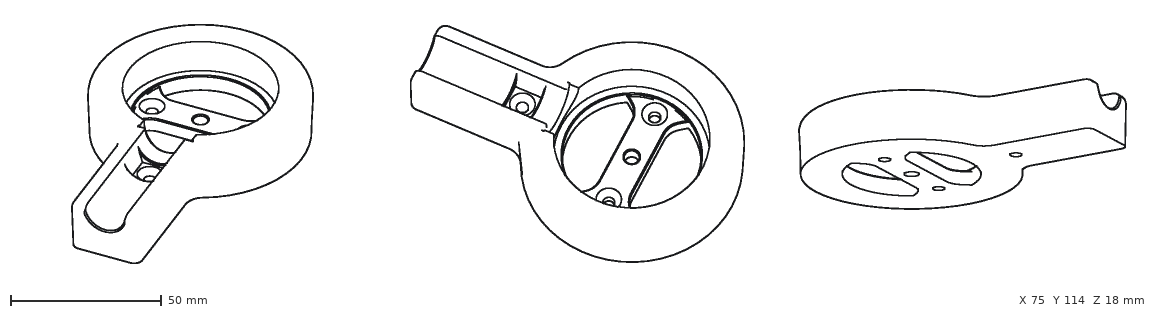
import cadquery as cq
import math

BODY_HEIGHT = 18.0
TOTAL_LENGTH = 113.98
HEAD_BOTTOM_RADIUS = 37.0
DRAFT_ANGLE = 2.0
HANDLE_BOTTOM_WIDTH = 25.0
HANDLE_CORNER_RADIUS = 3.0
NECK_RADIUS = 6.5
TOP_ROUND_RADIUS = 3.0

DRAFT_SLOPE = math.tan(math.radians(DRAFT_ANGLE))
HEAD_TOP_RADIUS = HEAD_BOTTOM_RADIUS + BODY_HEIGHT * DRAFT_SLOPE
HANDLE_TOP_WIDTH = HANDLE_BOTTOM_WIDTH + 2 * BODY_HEIGHT * DRAFT_SLOPE
HEAD_WIDEST_RADIUS = HEAD_BOTTOM_RADIUS + (BODY_HEIGHT - TOP_ROUND_RADIUS) * DRAFT_SLOPE
HANDLE_END_Y = HEAD_WIDEST_RADIUS - TOTAL_LENGTH

RECESS_RADIUS = 26.0
LEDGE_Z = 6.0
OPENING_RADIUS = 46.2 / 2
EDGE_CHAMFER = 0.4

BAR_TOP_Z = 5.0
BAR_WIDTH = 12.0
BAR_FLARE_X = 16.0
BAR_FLARE_ANGLE = 52.0
BAR_FLARE_BLEND_RADIUS = 7.0
BAR_ROOT_RADIUS = 0.4
BAR_SCREW_X = 17.75
CENTER_HOLE_DIAMETER = 5.0

SCREW_HOLE_DIAMETER = 4.0
COUNTERSINK_DIAMETER = 8.5
COUNTERSINK_ANGLE = 90.0

GROOVE_RADIUS = 7.25
GROOVE_DEPTH = 7.5
GROOVE_AXIS_Z = BODY_HEIGHT - (GROOVE_DEPTH - GROOVE_RADIUS)
MOUTH_CHAMFER = 0.5

COLLAR_RADIUS = 9.6
COLLAR_END_Y = -27.6
COLLAR_LIP_RADIUS = 0.8
COLLAR_SHOULDER_WIDTH = 20.0

HANDLE_SCREW_Y = -40.3
POCKET_LENGTH = 10.0
POCKET_FLOOR_WIDTH = 10.0
POCKET_FLOOR_Z = 9.5
POCKET_TOP_Z = 15.5
POCKET_WALL_ANGLE = 17.4

TOLERANCE = 0.1


def make_body():
    head = cq.Workplane("XY").add(
        cq.Solid.makeCone(HEAD_BOTTOM_RADIUS, HEAD_TOP_RADIUS, BODY_HEIGHT)
    )
    handle = (
        cq.Workplane("XZ")
        .polyline([
            (-HANDLE_BOTTOM_WIDTH / 2, 0),
            (HANDLE_BOTTOM_WIDTH / 2, 0),
            (HANDLE_TOP_WIDTH / 2, BODY_HEIGHT),
            (-HANDLE_TOP_WIDTH / 2, BODY_HEIGHT),
        ])
        .close()
        .extrude(-HANDLE_END_Y)
    )
    handle = handle.faces("<Y").edges("<X or >X").fillet(HANDLE_CORNER_RADIUS)
    neck_edges = cq.selectors.BoxSelector(
        (-HANDLE_TOP_WIDTH, -HEAD_TOP_RADIUS, TOLERANCE),
        (HANDLE_TOP_WIDTH, -OPENING_RADIUS, BODY_HEIGHT - TOLERANCE),
    )
    body = head.union(handle).edges(neck_edges).fillet(NECK_RADIUS)
    return body.faces(">Z").edges().fillet(TOP_ROUND_RADIUS)


def make_recess():
    """Cutter for the stepped round hole, with the ledge's inner edge chamfered."""
    return (
        cq.Workplane("XZ")
        .polyline([
            (0, 0),
            (OPENING_RADIUS, 0),
            (OPENING_RADIUS, LEDGE_Z - EDGE_CHAMFER),
            (OPENING_RADIUS + EDGE_CHAMFER, LEDGE_Z),
            (RECESS_RADIUS, LEDGE_Z),
            (RECESS_RADIUS, BODY_HEIGHT),
            (0, BODY_HEIGHT),
        ])
        .close()
        .revolve(360, (0, 0, 0), (0, 1, 0))
    )


def trace_half_round(plane, radius):
    """Groove section on an XZ plane centred on the groove axis, open past the top face."""
    return (
        plane.moveTo(-radius, BODY_HEIGHT)
        .lineTo(-radius, 0)
        .threePointArc((0, -radius), (radius, 0))
        .lineTo(radius, BODY_HEIGHT)
        .close()
    )


def groove_plane(y):
    return cq.Workplane("XZ", origin=(0, y, GROOVE_AXIS_Z))


def make_groove():
    """Cutter for the groove, its chamfered mouth and the collar with rounded lips."""
    groove = trace_half_round(groove_plane(0), GROOVE_RADIUS).extrude(-HANDLE_END_Y)
    collar = trace_half_round(groove_plane(0), COLLAR_RADIUS).extrude(-COLLAR_END_Y)
    groove_arc_center_z = GROOVE_AXIS_Z - 2 * GROOVE_RADIUS / math.pi
    lip_edges = cq.selectors.BoxSelector(
        (-GROOVE_RADIUS - TOLERANCE, COLLAR_END_Y - TOLERANCE, groove_arc_center_z - TOLERANCE),
        (GROOVE_RADIUS + TOLERANCE, COLLAR_END_Y + TOLERANCE, GROOVE_AXIS_Z + BODY_HEIGHT - TOLERANCE),
    )
    cutter = groove.union(collar).edges(lip_edges).fillet(COLLAR_LIP_RADIUS)
    mouth = trace_half_round(groove_plane(HANDLE_END_Y + MOUTH_CHAMFER), GROOVE_RADIUS)
    mouth = trace_half_round(mouth.workplane(offset=MOUTH_CHAMFER), GROOVE_RADIUS + MOUTH_CHAMFER)
    return cutter.union(make_shoulder()).union(mouth.loft(ruled=True))


def make_shoulder():
    """Cutter that rounds the top edge of the collar's end wall."""
    lip_y = COLLAR_END_Y - COLLAR_LIP_RADIUS
    lip_z = BODY_HEIGHT - COLLAR_LIP_RADIUS
    diagonal = COLLAR_LIP_RADIUS * math.sqrt(0.5)
    return (
        cq.Workplane("YZ", origin=(-COLLAR_SHOULDER_WIDTH / 2, 0, 0))
        .moveTo(COLLAR_END_Y, BODY_HEIGHT)
        .lineTo(lip_y, BODY_HEIGHT)
        .threePointArc((lip_y + diagonal, lip_z + diagonal), (COLLAR_END_Y, lip_z))
        .close()
        .extrude(COLLAR_SHOULDER_WIDTH)
    )


def cut_pocket(body):
    wall_run = (POCKET_TOP_Z - POCKET_FLOOR_Z) * math.tan(math.radians(POCKET_WALL_ANGLE))
    top_half_width = POCKET_FLOOR_WIDTH / 2 + wall_run
    start_y = HANDLE_SCREW_Y + POCKET_LENGTH / 2
    pocket = (
        cq.Workplane("XZ", origin=(0, start_y, 0))
        .polyline([
            (-POCKET_FLOOR_WIDTH / 2, POCKET_FLOOR_Z),
            (POCKET_FLOOR_WIDTH / 2, POCKET_FLOOR_Z),
            (top_half_width, POCKET_TOP_Z),
            (-top_half_width, POCKET_TOP_Z),
        ])
        .close()
        .extrude(POCKET_LENGTH)
    )
    body = body.cut(pocket)
    for y in (start_y, start_y - POCKET_LENGTH):
        rim = cq.selectors.BoxSelector(
            (-TOLERANCE, y - TOLERANCE, BODY_HEIGHT - GROOVE_DEPTH),
            (TOLERANCE, y + TOLERANCE, BODY_HEIGHT),
        )
        body = body.edges(rim).chamfer(EDGE_CHAMFER)
    return (
        body.copyWorkplane(cq.Workplane("XY", origin=(0, HANDLE_SCREW_Y, POCKET_FLOOR_Z)))
        .cskHole(SCREW_HOLE_DIAMETER, COUNTERSINK_DIAMETER, COUNTERSINK_ANGLE)
    )


def make_bar_blank():
    """Bar flared at both ends, chamfered along its upper edges and trimmed to the ring."""
    half_width = BAR_WIDTH / 2
    end_x = OPENING_RADIUS + EDGE_CHAMFER
    flare_rise = (end_x - BAR_FLARE_X) * math.tan(math.radians(BAR_FLARE_ANGLE))
    end_half_width = half_width + flare_rise
    bar = (
        cq.Workplane("XY")
        .polyline([
            (-end_x, -end_half_width),
            (-BAR_FLARE_X, -half_width),
            (BAR_FLARE_X, -half_width),
            (end_x, -end_half_width),
            (end_x, end_half_width),
            (BAR_FLARE_X, half_width),
            (-BAR_FLARE_X, half_width),
            (-end_x, end_half_width),
        ])
        .close()
        .extrude(BAR_TOP_Z)
    )
    bends = cq.selectors.BoxSelector(
        (-BAR_FLARE_X - TOLERANCE, -half_width - TOLERANCE, 0),
        (BAR_FLARE_X + TOLERANCE, half_width + TOLERANCE, BAR_TOP_Z),
    )
    bar = bar.edges("|Z").edges(bends).fillet(BAR_FLARE_BLEND_RADIUS)
    bar = bar.faces(">Z").edges("not |Y").chamfer(EDGE_CHAMFER)
    return bar.intersect(cq.Workplane("XY").circle(end_x).extrude(BAR_TOP_Z))


def is_bar_root(edge):
    """True for the edges where the bar's sides and upper face meet the opening's wall."""
    start_radius = math.hypot(edge.startPoint().x, edge.startPoint().y)
    end_radius = math.hypot(edge.endPoint().x, edge.endPoint().y)
    on_wall = max(abs(start_radius - OPENING_RADIUS), abs(end_radius - OPENING_RADIUS)) < TOLERANCE
    inside_height = TOLERANCE < edge.Center().z < BAR_TOP_Z + TOLERANCE
    across_bar = edge.geomType() == "LINE" and abs(edge.Center().y) < TOLERANCE
    return on_wall and inside_height and not across_bar


def make_bar():
    """Drilled cross bar together with the ring it is filleted into."""
    ring = (
        cq.Workplane("XY")
        .circle(RECESS_RADIUS)
        .circle(OPENING_RADIUS)
        .extrude(LEDGE_Z - EDGE_CHAMFER)
    )
    bar = make_bar_blank().union(ring).val()
    root_edges = [edge for edge in bar.Edges() if is_bar_root(edge)]
    bar = cq.Workplane(bar.fillet(BAR_ROOT_RADIUS, root_edges))
    bar_top = cq.Workplane("XY", origin=(0, 0, BAR_TOP_Z))
    bar = (
        bar.copyWorkplane(bar_top)
        .pushPoints([(-BAR_SCREW_X, 0), (BAR_SCREW_X, 0)])
        .cskHole(SCREW_HOLE_DIAMETER, COUNTERSINK_DIAMETER, COUNTERSINK_ANGLE)
    )
    return (
        bar.copyWorkplane(bar_top)
        .cskHole(CENTER_HOLE_DIAMETER, CENTER_HOLE_DIAMETER + 2 * EDGE_CHAMFER, COUNTERSINK_ANGLE)
    )


result = make_body().cut(make_recess()).cut(make_groove())
result = cut_pocket(result)
result = result.union(make_bar())